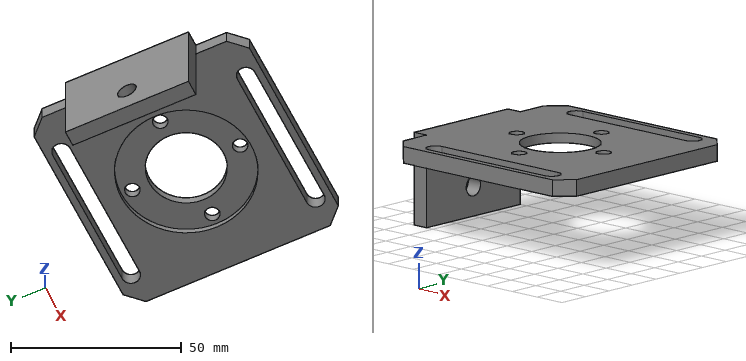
import cadquery as cq

length = 75.0
plate_width = 70.0
height = 28.0
thickness = 5.0
flange_width = 40.0
corner_chamfer = 5.0

bore_diameter = 24.0
bolt_hole_diameter = 4.5
bolt_circle_diameter = 35.0
bolt_count = 4
recess_diameter = 42.0
recess_depth = 2.0
slot_length = 52.4
slot_width = 5.6
slot_spacing = 60.0
slot_shift = 1.5

flange_hole_diameter = 6.0
flange_hole_height = 9.1

plate_length = length - thickness
plate_center_x = thickness + plate_length / 2
plate_bottom = height - thickness


def make_plate():
    """Horizontal plate with chamfered corners, a bore, a recess, bolt holes and two slots."""
    plate = (
        cq.Workplane("XY", origin=(plate_center_x, 0, plate_bottom))
        .rect(plate_length, plate_width)
        .extrude(thickness)
        .edges("|Z")
        .chamfer(corner_chamfer)
    )
    plate = plate.faces(">Z").workplane(origin=(plate_center_x, 0, height)).hole(bore_diameter)
    plate = (
        plate.faces(">Z")
        .workplane(origin=(plate_center_x, 0, height))
        .polarArray(bolt_circle_diameter / 2, 0, 360, bolt_count)
        .hole(bolt_hole_diameter)
    )
    recess = (
        cq.Workplane("XY", origin=(plate_center_x, 0, plate_bottom))
        .circle(recess_diameter / 2)
        .extrude(recess_depth)
    )
    plate = plate.cut(recess)
    slot_points = [(slot_shift, side * slot_spacing / 2) for side in (-1, 1)]
    return (
        plate.faces(">Z")
        .workplane(origin=(plate_center_x, 0, height))
        .pushPoints(slot_points)
        .slot2D(slot_length, slot_width)
        .cutThruAll()
    )


def make_flange():
    """Vertical flange rising to the top of the plate, with one cross hole."""
    flange = cq.Workplane("XY").box(thickness, flange_width, height, centered=(False, True, False))
    hole = (
        cq.Workplane("YZ", origin=(0, 0, flange_hole_height))
        .circle(flange_hole_diameter / 2)
        .extrude(thickness)
    )
    return flange.cut(hole)


result = make_plate().union(make_flange()).clean()